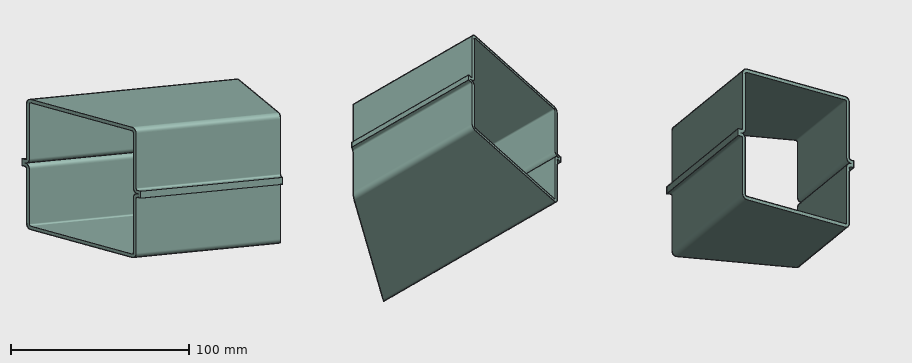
import cadquery as cq
import math

long_side = 126.2
flange_width = 82.5
tube_size = 76.2
wall = 2.0
inner_radius = 1.0
miter_angle = 27.0

outer_radius = inner_radius + wall
half_flange = flange_width / 2
miter_rise = flange_width * math.tan(math.radians(miter_angle))
half_outer = tube_size / 2
half_inner = half_outer - wall
flange_bend_x = half_inner + outer_radius
corner_x = half_outer - outer_radius
corner_z = corner_x
diagonal = math.sqrt(0.5)


def arc_middle(center_x, center_z, radius, x_sign, z_sign):
    """Middle point of a quarter arc, in the quadrant given by the signs."""
    reach = radius * diagonal
    return (center_x + x_sign * reach, center_z + z_sign * reach)


def right_half_of_channel():
    """Upper channel for x >= 0: roof, side wall and outward flange."""
    profile = (
        cq.Workplane("XZ")
        .moveTo(0, half_outer)
        .lineTo(corner_x, half_outer)
        .threePointArc(arc_middle(corner_x, corner_z, outer_radius, 1, 1), (half_outer, corner_z))
        .lineTo(half_outer, outer_radius)
        .threePointArc(arc_middle(flange_bend_x, outer_radius, inner_radius, -1, -1), (flange_bend_x, wall))
        .lineTo(half_flange, wall)
        .lineTo(half_flange, 0)
        .lineTo(flange_bend_x, 0)
        .threePointArc(
            arc_middle(flange_bend_x, outer_radius, outer_radius, -1, -1), (half_inner, outer_radius)
        )
        .lineTo(half_inner, corner_z)
        .threePointArc(arc_middle(corner_x, corner_z, inner_radius, 1, 1), (corner_x, half_inner))
        .lineTo(0, half_inner)
        .close()
    )
    return profile.extrude(-long_side)


def miter_waste():
    """Wedge removed from the -Y end, starting at the -X flange tip."""
    return (
        cq.Workplane("XY")
        .moveTo(-half_flange, 0)
        .lineTo(half_flange, 0)
        .lineTo(half_flange, miter_rise)
        .close()
        .extrude(half_outer, both=True)
    )


right_half = right_half_of_channel()
upper_channel = right_half.union(right_half.mirror("YZ")).clean()
lower_channel = upper_channel.mirror("XY")
tube = upper_channel.union(lower_channel, clean=False)
result = tube.cut(miter_waste(), clean=False)